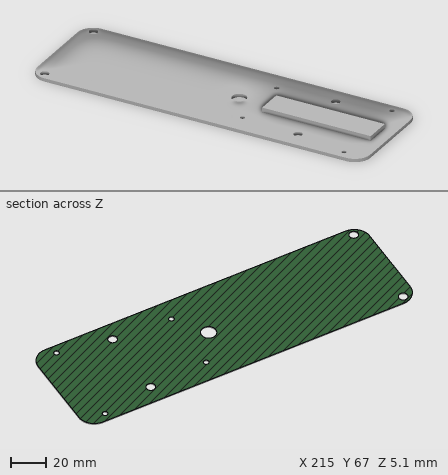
import cadquery as cq

PLATE_LENGTH = 215.0
PLATE_WIDTH = 67.0
PLATE_THICKNESS = 2.1
CORNER_RADIUS = 10.0

OVERALL_HEIGHT = 5.1
PAD_HEIGHT = OVERALL_HEIGHT - PLATE_THICKNESS
PAD_LENGTH = 70.1
PAD_WIDTH = 16.5
PAD_CENTRE_X = 64.75
PAD_CENTRE_Y = -0.9

CENTRE_HOLE_DIAMETER = 9.0
CENTRE_HOLE_X = 10.0
CENTRE_HOLE_Y = -0.2

MOUNTING_HOLE_DIAMETER = 5.3
MOUNTING_HOLE_PAIRS = [(-100.0, 28.5), (60.0, 22.0)]
SMALL_HOLE_DIAMETER = 3.0
SMALL_HOLE_PAIRS = [(23.0, 20.0), (93.0, 28.0)]


def make_plate():
    """Flat plate with rounded corners."""
    plate = cq.Workplane("XY").box(
        PLATE_LENGTH, PLATE_WIDTH, PLATE_THICKNESS, centered=(True, True, False)
    )
    return plate.edges("|Z").fillet(CORNER_RADIUS)


def make_pad():
    """Rectangular pad standing on the plate's top face."""
    return (
        cq.Workplane("XY", origin=(PAD_CENTRE_X, PAD_CENTRE_Y, PLATE_THICKNESS))
        .rect(PAD_LENGTH, PAD_WIDTH)
        .extrude(PAD_HEIGHT)
    )


def mirrored_pairs(pairs):
    """Points on both sides of the X axis for each (x, offset) pair."""
    return [(x, side * offset) for x, offset in pairs for side in (-1, 1)]


def drill(body, points, diameter):
    """Cut round holes through the full plate thickness."""
    pins = cq.Workplane("XY").pushPoints(points).circle(diameter / 2).extrude(PLATE_THICKNESS)
    return body.cut(pins)


result = make_plate()
result = drill(result, [(CENTRE_HOLE_X, CENTRE_HOLE_Y)], CENTRE_HOLE_DIAMETER)
result = drill(result, mirrored_pairs(MOUNTING_HOLE_PAIRS), MOUNTING_HOLE_DIAMETER)
result = drill(result, mirrored_pairs(SMALL_HOLE_PAIRS), SMALL_HOLE_DIAMETER)
result = result.union(make_pad())